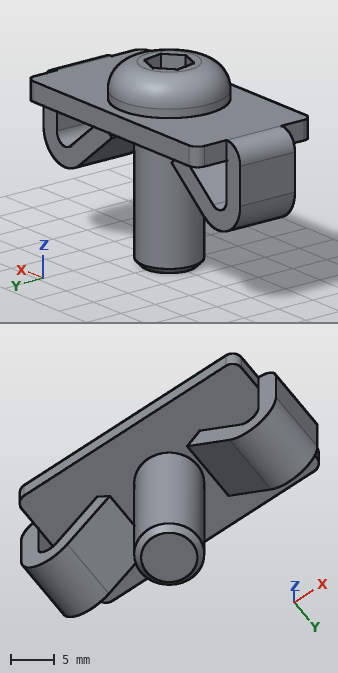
import cadquery as cq
import math


overall_length = 36.0
plate_width = 17.0
sheet_thickness = 2.5
plate_corner_radius = 1.25
plate_length = overall_length - 2 * sheet_thickness

clip_width = 8.0
bend_inner_radius = 1.5
bend_outer_radius = bend_inner_radius + sheet_thickness
bend_depth = 7.3
arm_angle = math.radians(39.5)
tip_cut_angle = math.radians(45)
tip_inner_x = 7.25

shank_diameter = 8.0
shank_length = 20.0
shank_chamfer = 0.8
head_diameter = 14.0
head_height = 4.4
head_rim_height = 1.08
head_flat_diameter = 7.35

socket_across_flats = 5.0
socket_corner_depth = 2.6
socket_rotation = -19
socket_cone_half_angle = math.radians(60)
socket_diameter = socket_across_flats / math.cos(math.radians(30))


def make_plate():
    return (
        cq.Workplane("XY")
        .rect(plate_length, plate_width)
        .extrude(-sheet_thickness)
        .edges("|Z")
        .fillet(plate_corner_radius)
    )


def make_clip():
    """Clip at the +X end: leg down, round bend, then an arm rising back toward the screw."""
    outer_x = overall_length / 2
    inner_x = outer_x - sheet_thickness
    root_x = inner_x - plate_corner_radius
    bend_x = outer_x - bend_outer_radius

    def bend_point(radius, angle):
        """Point on the bend; zero angle is straight down, positive toward the screw."""
        return (bend_x - radius * math.sin(angle), -bend_depth - radius * math.cos(angle))

    arm_start_x, arm_start_z = bend_point(bend_inner_radius, arm_angle)
    tip_inner_z = arm_start_z + (arm_start_x - tip_inner_x) * math.tan(arm_angle)

    perpendicular_angle = math.pi / 2 - arm_angle
    tip_edge = sheet_thickness / math.cos(perpendicular_angle - tip_cut_angle)
    tip_outer = (
        tip_inner_x - tip_edge * math.cos(tip_cut_angle),
        tip_inner_z - tip_edge * math.sin(tip_cut_angle),
    )

    bend_middle = (arm_angle - math.pi / 2) / 2
    corner_offset = sheet_thickness * math.sin(math.pi / 4)

    return (
        cq.Workplane("XZ")
        .moveTo(root_x, 0)
        .lineTo(inner_x, 0)
        .threePointArc(
            (inner_x + corner_offset, corner_offset - sheet_thickness),
            (outer_x, -sheet_thickness),
        )
        .lineTo(outer_x, -bend_depth)
        .threePointArc(
            bend_point(bend_outer_radius, bend_middle),
            bend_point(bend_outer_radius, arm_angle),
        )
        .lineTo(*tip_outer)
        .lineTo(tip_inner_x, tip_inner_z)
        .lineTo(arm_start_x, arm_start_z)
        .threePointArc(
            bend_point(bend_inner_radius, bend_middle),
            (inner_x, -bend_depth),
        )
        .lineTo(inner_x, -sheet_thickness)
        .lineTo(root_x, -sheet_thickness)
        .close()
        .extrude(clip_width / 2, both=True)
    )


def make_screw():
    """Revolved button-head screw without its socket."""
    shank_radius = shank_diameter / 2
    head_radius = head_diameter / 2
    flat_radius = head_flat_diameter / 2
    dome_width = head_radius - flat_radius
    dome_height = head_height - head_rim_height
    dome_middle = (
        flat_radius + dome_width * math.sin(math.pi / 4),
        head_rim_height + dome_height * math.sin(math.pi / 4),
    )
    return (
        cq.Workplane("XZ")
        .moveTo(0, -shank_length)
        .lineTo(shank_radius - shank_chamfer, -shank_length)
        .lineTo(shank_radius, -shank_length + shank_chamfer)
        .lineTo(shank_radius, 0)
        .lineTo(head_radius, 0)
        .lineTo(head_radius, head_rim_height)
        .threePointArc(dome_middle, (flat_radius, head_height))
        .lineTo(0, head_height)
        .close()
        .revolve(360, (0, 0), (0, 1))
    )


def make_socket():
    """Hexagonal prism trimmed at the bottom by a cone that meets its corners."""
    radius = socket_diameter / 2
    cone_height = radius / math.tan(socket_cone_half_angle)
    corner_z = head_height - socket_corner_depth
    hexagon = (
        cq.Workplane("XY", origin=(0, 0, head_height))
        .polygon(6, socket_diameter)
        .extrude(-socket_corner_depth - cone_height)
        .rotate((0, 0, 0), (0, 0, 1), socket_rotation)
    )
    drill = (
        cq.Workplane("XZ")
        .moveTo(0, corner_z - cone_height)
        .lineTo(radius, corner_z)
        .lineTo(radius, head_height)
        .lineTo(0, head_height)
        .close()
        .revolve(360, (0, 0), (0, 1))
    )
    return hexagon.intersect(drill)


clip = make_clip()
result = (
    make_plate()
    .union(clip)
    .union(clip.mirror("YZ"))
    .union(make_screw())
    .cut(make_socket())
)